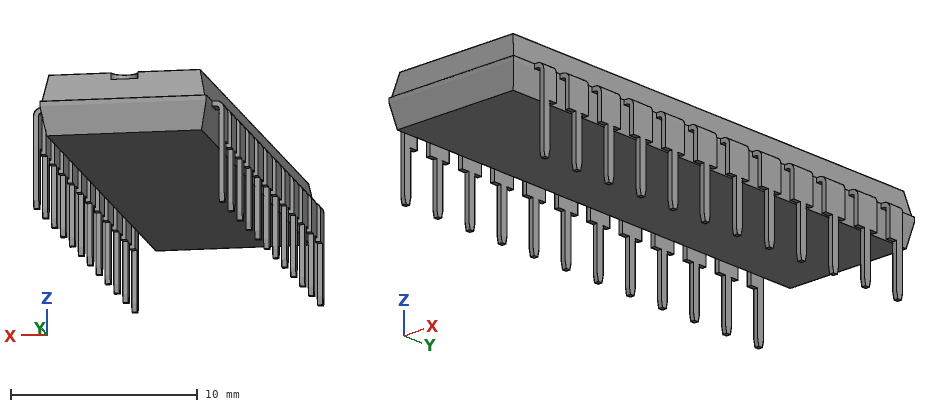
import cadquery as cq


body_length = 31.75
body_width = 9.08
body_height = 3.33
side_taper = 0.32
top_ledge = 0.1

overall_height = 7.0
lead_span = 10.4
lead_thickness = 0.3
bend_outer_radius = 0.45
leads_per_row = 12
pitch = 2.55
leg_width = 0.48
shoulder_width = 1.52
shoulder_bottom = 3.33
tip_height = 0.45
tip_width = 0.3
lead_top = 5.5
lead_embed = 0.32

notch_radius = 0.73
notch_depth = 0.38

lead_bottom = lead_top - lead_thickness
body_bottom = overall_height - body_height
lead_outer_x = lead_span / 2
row_half_length = pitch * (leads_per_row - 1) / 2
top_edge_y = body_length / 2 - top_ledge - side_taper


def tapered_half(start_z, end_z, ledge):
    """Half of the body, starting a ledge inside the parting band and narrowing to its end face."""
    base_width = body_width - 2 * ledge
    base_length = body_length - 2 * ledge
    return (
        cq.Workplane("XY", origin=(0, 0, start_z))
        .rect(base_width, base_length)
        .workplane(offset=end_z - start_z)
        .rect(base_width - 2 * side_taper, base_length - 2 * side_taper)
        .loft(ruled=True)
    )


def make_body():
    """Two tapered halves joined by a straight parting band, with the pin-one notch cut out."""
    band = (
        cq.Workplane("XY", origin=(0, 0, lead_bottom))
        .rect(body_width, body_length)
        .extrude(lead_thickness)
    )
    upper = tapered_half(lead_top, overall_height, top_ledge)
    lower = tapered_half(lead_bottom, body_bottom, 0)
    notch = (
        cq.Workplane("XY", origin=(0, top_edge_y, overall_height))
        .circle(notch_radius)
        .extrude(-notch_depth)
    )
    return band.union(upper).union(lower).cut(notch)


def make_bent_strip():
    """Full-length bent sheet on the +X side, from which the leads of one row are cut."""
    inner_end_x = body_width / 2 - lead_embed
    inner_face_x = lead_outer_x - lead_thickness
    bend_start_x = lead_outer_x - bend_outer_radius
    bend_start_z = lead_top - bend_outer_radius
    bend_inner_radius = bend_outer_radius - lead_thickness
    return (
        cq.Workplane("XZ")
        .moveTo(inner_end_x, lead_top)
        .lineTo(bend_start_x, lead_top)
        .radiusArc((lead_outer_x, bend_start_z), bend_outer_radius)
        .lineTo(lead_outer_x, 0)
        .lineTo(inner_face_x, 0)
        .lineTo(inner_face_x, bend_start_z)
        .radiusArc((bend_start_x, lead_bottom), -bend_inner_radius)
        .lineTo(inner_end_x, lead_bottom)
        .close()
        .extrude(body_length / 2, both=True)
    )


def lead_outline(back_reach, front_reach):
    """Solid with the YZ outline of one lead, its leg centred on Y = 0 and tapering to the tip.

    The reaches are how far the wide part extends toward -Y and +Y.
    """
    half_leg = leg_width / 2
    half_tip = tip_width / 2
    leg = (
        cq.Workplane("YZ")
        .moveTo(-half_tip, 0)
        .lineTo(half_tip, 0)
        .lineTo(half_leg, tip_height)
        .lineTo(half_leg, lead_top)
        .lineTo(-half_leg, lead_top)
        .lineTo(-half_leg, tip_height)
        .close()
        .extrude(lead_span)
    )
    shoulder = (
        cq.Workplane("YZ")
        .moveTo(-back_reach, shoulder_bottom)
        .lineTo(front_reach, shoulder_bottom)
        .lineTo(front_reach, lead_top)
        .lineTo(-back_reach, lead_top)
        .close()
        .extrude(lead_span)
    )
    return leg.union(shoulder)


def make_lead_row():
    """Leads on the +X side; the end leads have no shoulder on their outer side."""
    strip = make_bent_strip()
    leads = []
    for index in range(leads_per_row):
        is_first = index == 0
        is_last = index == leads_per_row - 1
        back_reach = leg_width / 2 if is_first else shoulder_width / 2
        front_reach = leg_width / 2 if is_last else shoulder_width / 2
        center_y = index * pitch - row_half_length
        outline = lead_outline(back_reach, front_reach).translate((0, center_y, 0))
        leads.append(strip.intersect(outline))
    return leads


result = make_body()
for lead in make_lead_row():
    result = result.union(lead).union(lead.mirror("YZ"))